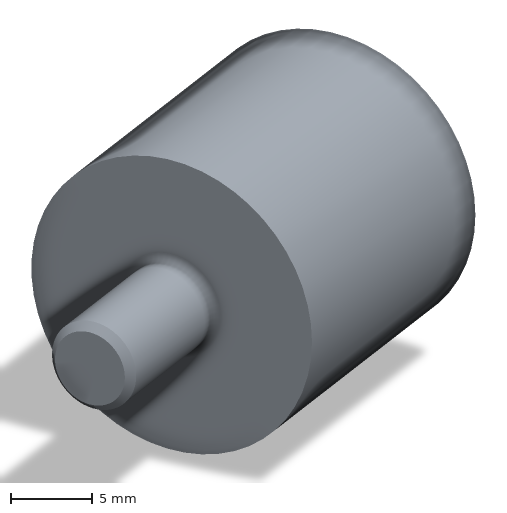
import cadquery as cq

total_length = 30.0
body_diameter = 20.0
pin_diameter = 6.0
pin_length = total_length / 3
body_length = total_length - pin_length

tip_chamfer = 0.5
root_fillet = 0.5

body = cq.Workplane("XZ").circle(body_diameter / 2).extrude(-body_length)

pin = (
    cq.Workplane("XZ")
    .circle(pin_diameter / 2)
    .extrude(pin_length)
    .faces("<Y")
    .chamfer(tip_chamfer)
)

pin_root = cq.selectors.RadiusNthSelector(0)
result = body.union(pin).faces("<Y[-2]").edges(pin_root).fillet(root_fillet)